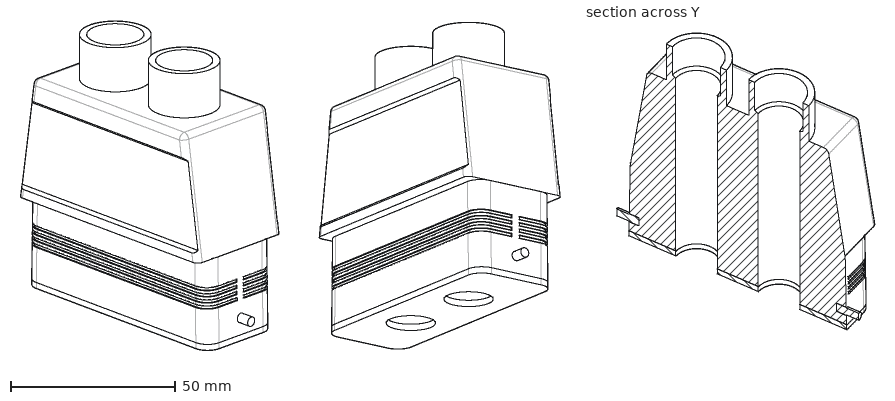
import cadquery as cq
import math

seal_thickness = 2.0
shoulder_z = 30.0
roof_z = 70.5
top_z = 85.01

skirt_bottom_half_length = 39.6
skirt_top_half_length = 39.1
skirt_width = 28.8
skirt_corner_radius = 5.0

shell_bottom_half_length = 39.0
shell_end_slope = 8.6
shell_width = 36.0
shell_fillet = 2.0

recess_depth = 1.0
recess_bottom_z = 33.0
recess_top_z = 63.0

groove_count = 4
groove_pitch = 2.0
groove_height = 1.0
groove_depth = 0.5
lowest_groove_z = 13.5
groove_gap = 2.8
groove_blank_oversize = 2.0

entry_spacing = 29.9
entry_outer_diameter = 21.9
entry_bore_diameter = 17.4
cable_hole_diameter = 15.0
entry_bore_floor_z = 73.5
entry_cone_angle = 60.0

peg_diameter = 3.0
peg_z = 7.5
peg_tip_x = 44.0
peg_root_x = 36.0

entry_centers = [(-entry_spacing / 2, 0), (entry_spacing / 2, 0)]


def tapered_block(bottom_z, bottom_half_length, height, top_half_length, width):
    """Block of constant width whose two ends slope, centred on the Z axis."""
    top = bottom_z + height
    return (
        cq.Workplane("XZ")
        .polyline([
            (-bottom_half_length, bottom_z),
            (bottom_half_length, bottom_z),
            (top_half_length, top),
            (-top_half_length, top),
        ])
        .close()
        .extrude(width / 2, both=True)
    )


def make_skirt(width, inset=0.0):
    """Hood skirt with rounded corners, shrunk on every side by inset."""
    block = tapered_block(
        seal_thickness,
        skirt_bottom_half_length - inset,
        shoulder_z - seal_thickness,
        skirt_top_half_length - inset,
        width - 2 * inset,
    )
    return block.edges("not(|X or |Y)").fillet(skirt_corner_radius - inset)


def make_grooves():
    """Rings that cut the grip grooves, open in the middle of each end."""
    skirt_core = make_skirt(skirt_width, groove_depth)
    blank_length = 2 * skirt_bottom_half_length + groove_blank_oversize
    blank_width = skirt_width + groove_blank_oversize
    grooves = []
    for index in range(groove_count):
        groove_z = lowest_groove_z + index * groove_pitch
        blank = cq.Workplane("XY", origin=(0, 0, groove_z)).box(
            blank_length, blank_width, groove_height, centered=(True, True, False)
        )
        gap = cq.Workplane("XY", origin=(0, 0, groove_z)).box(
            blank_length, groove_gap, groove_height, centered=(True, True, False)
        )
        grooves.append(blank.cut(skirt_core).cut(gap))
    return grooves


def make_shell():
    """Upper shell with sloping ends, rounded edges and recessed long sides."""
    height = roof_z - shoulder_z
    top_half_length = shell_bottom_half_length - height * math.tan(math.radians(shell_end_slope))
    shell = tapered_block(
        shoulder_z, shell_bottom_half_length, height, top_half_length, shell_width
    )
    shell = shell.edges("not(|X or |Y)").fillet(shell_fillet)
    shell = shell.faces(">Z").edges().fillet(shell_fillet)

    outer_y = shell_width / 2
    floor_y = outer_y - recess_depth
    for side in (-1, 1):
        recess = (
            cq.Workplane("YZ")
            .polyline([
                (side * outer_y, recess_bottom_z),
                (side * floor_y, recess_bottom_z + recess_depth),
                (side * floor_y, recess_top_z - recess_depth),
                (side * outer_y, recess_top_z),
            ])
            .close()
            .extrude(shell_bottom_half_length, both=True)
        )
        shell = shell.cut(recess)
    return shell


def make_entry_bore():
    """Stepped bore of one cable entry: wide bore, conical floor, cable hole down to z = 0."""
    bore_radius = entry_bore_diameter / 2
    hole_radius = cable_hole_diameter / 2
    cone_height = (bore_radius - hole_radius) / math.tan(math.radians(entry_cone_angle))
    return (
        cq.Workplane("XZ")
        .polyline([
            (0, 0),
            (hole_radius, 0),
            (hole_radius, entry_bore_floor_z - cone_height),
            (bore_radius, entry_bore_floor_z),
            (bore_radius, top_z),
            (0, top_z),
        ])
        .close()
        .revolve(360, (0, 0), (0, 1))
    )


def make_peg(side):
    """Locking peg on the left (-1) or right (+1) end."""
    return (
        cq.Workplane("YZ", origin=(side * peg_root_x, 0, peg_z))
        .circle(peg_diameter / 2)
        .extrude(side * (peg_tip_x - peg_root_x))
    )


def make_hood(pegs):
    """Hood with skirt, shell and cable entries, drilled for the pegs."""
    hood = make_skirt(skirt_width)
    for groove in make_grooves():
        hood = hood.cut(groove)
    hood = hood.union(make_shell())
    entries = (
        cq.Workplane("XY", origin=(0, 0, roof_z))
        .pushPoints(entry_centers)
        .circle(entry_outer_diameter / 2)
        .extrude(top_z - roof_z)
    )
    hood = hood.union(entries)
    for x, y in entry_centers:
        hood = hood.cut(make_entry_bore().translate((x, y, 0)))
    for peg in pegs:
        hood = hood.cut(peg)
    return hood


def make_seal():
    """Flat seal under the skirt, flush with it and open below the cable holes."""
    return (
        cq.Workplane("XY")
        .rect(2 * skirt_bottom_half_length, skirt_width)
        .extrude(seal_thickness)
        .edges("|Z")
        .fillet(skirt_corner_radius)
        .faces(">Z")
        .workplane()
        .pushPoints(entry_centers)
        .hole(cable_hole_diameter)
    )


pegs = [make_peg(side) for side in (-1, 1)]
hood = make_hood(pegs)
seal = make_seal()

result = cq.Compound.makeCompound([hood.val(), seal.val(), *[peg.val() for peg in pegs]])